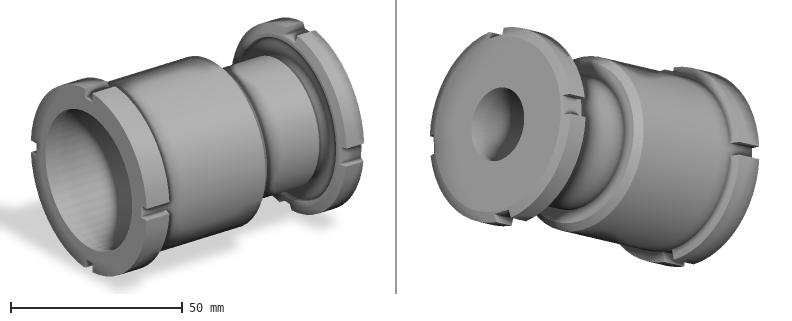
import cadquery as cq
import math

total_length = 79.25
flange_radius = 29.0
slot_count = 4

sleeve_length = 47.0
sleeve_radius = 26.0
sleeve_chamfer = 2.1
sleeve_flange_rim = 8.2
sleeve_flange_taper = 0.9
sleeve_bore_radius = 21.6
guide_length = 14.3
sleeve_bore_depth = sleeve_length - guide_length
sleeve_slot_width = 3.8
sleeve_slot_floor = 26.0

spindle_start = 24.9
spindle_radius = 20.0
spindle_neck_radius = 18.7
spindle_tip_radius = 18.4
spindle_step_radius = 19.2
neck_root_fillet = 0.8
spindle_hole_radius = 10.9
hole_chamfer = 0.55
tip_land = 0.4
neck_blend = 0.5
neck_length = 1.2
head_thickness = 8.25
head_taper_width = 3.0
head_taper_height = 0.95
head_slot_width = 5.95
head_slot_floor = 26.55
head_recess_radius = 25.05
head_recess_depth = 1.4
head_recess_draft = 0.5
spindle_turn = 2.9

head_start = total_length - head_thickness
recess_floor = head_start + head_recess_depth


def revolve_profile(profile):
    """Turn a closed (radius, y) outline about the Y axis."""
    return profile.revolve(360, (0, 0, 0), (0, 1, 0))


def cut_rim_slots(body, width, floor_radius, y_start, length):
    """Cut evenly spaced axial slots into the rim of a flange."""
    depth = flange_radius - floor_radius
    for index in range(slot_count):
        cutter = (
            cq.Workplane("XY")
            .box(width, length, 2 * depth, centered=(True, False, False))
            .translate((0, y_start, floor_radius))
            .rotate((0, 0, 0), (0, 1, 0), index * 360 / slot_count)
        )
        body = body.cut(cutter)
    return body


def make_sleeve():
    flange_end = sleeve_flange_rim + sleeve_flange_taper
    profile = cq.Workplane("XY").polyline([
        (sleeve_bore_radius, 0),
        (flange_radius, 0),
        (flange_radius, sleeve_flange_rim),
        (sleeve_radius, flange_end),
        (sleeve_radius, sleeve_length - sleeve_chamfer),
        (sleeve_radius - sleeve_chamfer, sleeve_length),
        (spindle_radius, sleeve_length),
        (spindle_radius, sleeve_bore_depth),
        (sleeve_bore_radius, sleeve_bore_depth),
    ]).close()
    body = revolve_profile(profile)
    return cut_rim_slots(body, sleeve_slot_width, sleeve_slot_floor, 0, flange_end)


def make_spindle():
    tip_step_y = spindle_start + spindle_step_radius - spindle_tip_radius
    tip_land_y = tip_step_y + tip_land
    tip_end_y = tip_land_y + spindle_radius - spindle_step_radius
    neck_start = head_start - neck_length
    step_y = neck_start - neck_blend
    thread_end = step_y - (spindle_radius - spindle_step_radius)
    arc_drop = neck_root_fillet * (1 - math.sqrt(0.5))
    profile = (
        cq.Workplane("XY")
        .polyline([
            (spindle_hole_radius + hole_chamfer, spindle_start),
            (spindle_tip_radius, spindle_start),
            (spindle_step_radius, tip_step_y),
            (spindle_step_radius, tip_land_y),
            (spindle_radius, tip_end_y),
            (spindle_radius, thread_end),
            (spindle_step_radius, step_y),
            (spindle_neck_radius, neck_start),
            (spindle_neck_radius, recess_floor - neck_root_fillet),
        ])
        .threePointArc(
            (spindle_neck_radius + arc_drop, recess_floor - arc_drop),
            (spindle_neck_radius + neck_root_fillet, recess_floor),
        )
        .lineTo(head_recess_radius - head_recess_draft, recess_floor)
        .lineTo(head_recess_radius, head_start)
        .lineTo(flange_radius - head_taper_width, head_start)
        .lineTo(flange_radius, head_start + head_taper_height)
        .lineTo(flange_radius, total_length - head_taper_height)
        .lineTo(flange_radius - head_taper_width, total_length)
        .lineTo(spindle_hole_radius, total_length)
        .lineTo(spindle_hole_radius, spindle_start + hole_chamfer)
        .close()
    )
    body = revolve_profile(profile)
    body = cut_rim_slots(body, head_slot_width, head_slot_floor, head_start, head_thickness)
    return body.rotate((0, 0, 0), (0, 1, 0), spindle_turn)


sleeve = make_sleeve()
spindle = make_spindle()
result = cq.Compound.makeCompound([sleeve.val(), spindle.val()])